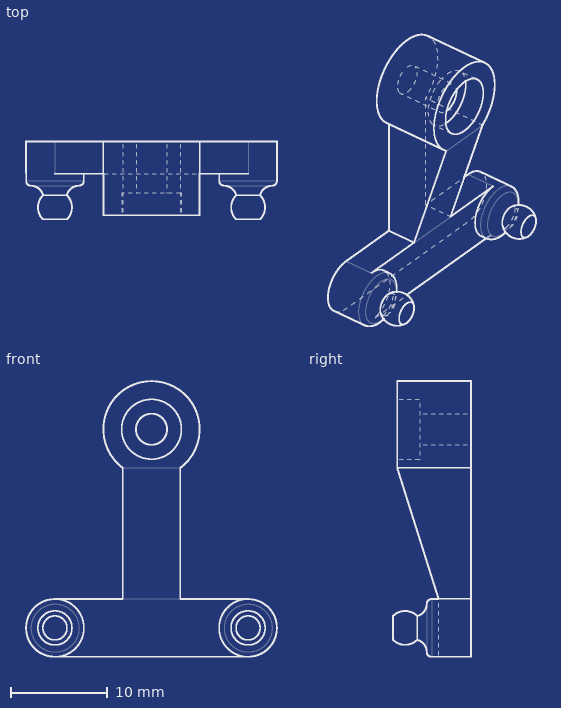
import cadquery as cq
import math


end_diameter = 6.0
end_radius = end_diameter / 2
stud_spacing = 20.0
bar_depth = 3.37

rim_fillet = 0.51
rim_depth = 4.6
ball_radius = 1.77
stud_depth = 8.1
ball_flat_offset = 1.25

total_height = 28.58
hub_radius = 5.0
hub_depth = 7.65
hub_height = total_height - hub_radius
hole_diameter = 3.2
counterbore_diameter = 6.2
counterbore_depth = 2.35

post_half_width = end_radius
hub_joint_height = hub_height - math.sqrt(hub_radius**2 - post_half_width**2)


def cylinder(radius, depth, height):
    """Cylinder from the back plane toward -Y, centred on X at the given height."""
    return cq.Workplane("XZ").center(0, height).circle(radius).extrude(depth)


def make_crossbar():
    return cq.Workplane("XY").box(
        stud_spacing, bar_depth, end_diameter, centered=(True, False, False)
    ).translate((0, -bar_depth, 0))


def make_stud():
    """Round end, concave neck and flat-tipped ball, turned about a Y axis."""
    diagonal = math.sqrt(0.5)
    ball_center = stud_depth - ball_flat_offset
    flat_radius = math.sqrt(ball_radius**2 - ball_flat_offset**2)
    neck_depth = ball_center - ball_flat_offset

    shoulder_radius = end_radius - rim_fillet
    straight_depth = rim_depth - rim_fillet
    rim_middle = (
        shoulder_radius + rim_fillet * diagonal,
        -straight_depth - rim_fillet * diagonal,
    )

    neck_run = shoulder_radius - flat_radius
    neck_rise = neck_depth - rim_depth
    neck_arc_radius = (neck_run**2 + neck_rise**2) / (2 * neck_rise)
    half_sweep = math.atan2(neck_rise, neck_run)
    neck_middle = (
        shoulder_radius - neck_arc_radius * math.sin(half_sweep),
        -rim_depth - neck_arc_radius * (1 - math.cos(half_sweep)),
    )

    return (
        cq.Workplane("XY")
        .lineTo(end_radius, 0)
        .lineTo(end_radius, -straight_depth)
        .threePointArc(rim_middle, (shoulder_radius, -rim_depth))
        .threePointArc(neck_middle, (flat_radius, -neck_depth))
        .threePointArc((ball_radius, -ball_center), (flat_radius, -stud_depth))
        .lineTo(0, -stud_depth)
        .close()
        .revolve(360, (0, 0, 0), (0, 1, 0))
    )


def make_post():
    """Post that deepens from the crossbar to the full depth of the hub."""
    return (
        cq.Workplane("YZ")
        .moveTo(0, end_radius)
        .lineTo(-bar_depth, end_radius)
        .lineTo(-bar_depth, end_diameter)
        .lineTo(-hub_depth, hub_joint_height)
        .lineTo(0, hub_joint_height)
        .close()
        .extrude(post_half_width, both=True)
    )


def make_hub():
    """Round hub, cut flat underneath where the post meets it."""
    return (
        cq.Workplane("XZ")
        .moveTo(-post_half_width, hub_joint_height)
        .threePointArc((0, total_height), (post_half_width, hub_joint_height))
        .close()
        .extrude(hub_depth)
    )


def make_hub_bore():
    """Through hole with a counterbore in the front face."""
    through_hole = cylinder(hole_diameter / 2, hub_depth, hub_height)
    counterbore = cylinder(counterbore_diameter / 2, counterbore_depth, hub_height)
    return through_hole.union(counterbore.translate((0, counterbore_depth - hub_depth, 0)))


result = make_crossbar().union(make_post())
result = result.union(make_hub())
for side in (-1, 1):
    result = result.union(make_stud().translate((side * stud_spacing / 2, 0, end_radius)))
result = result.cut(make_hub_bore())